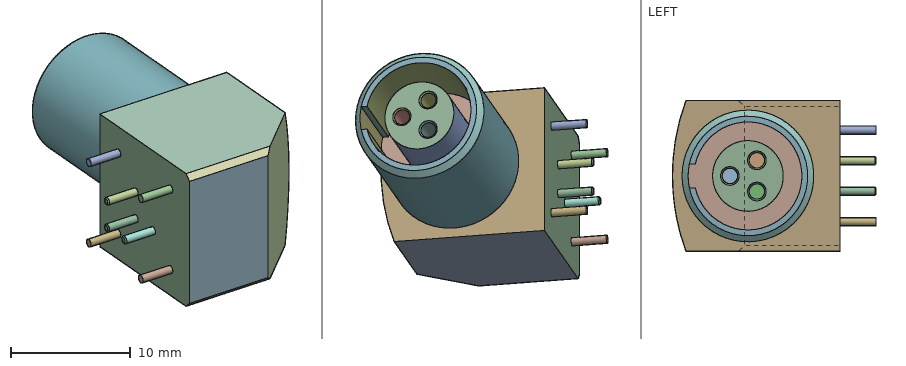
import cadquery as cq
import math

total_length = 26.8
housing_length = 13.19
housing_height = 12.6
housing_front = total_length - housing_length
mount_face_y = -7.7
crown_y = 6.3

crown_rise = 1.13
bevel_length = 5.65
bevel_depth = 6.03
end_chamfer = 0.5

barrel_radius = 5.5
barrel_chamfer = 0.5
bore_radius = 4.5
bore_depth = 8.05
keyway_width = 2.0
keyway_reach = barrel_radius - barrel_chamfer

insert_radius = 2.95
insert_recess = 0.4
contact_count = 3
contact_circle_radius = 1.5
contact_hole_radius = 0.65
contact_hole_depth = 4.02
contact_hole_chamfer = 0.13

pin_radius = 0.35
pin_length = 3.0
pin_pitch = 2.55
pin_tip_chamfer = 0.1
first_pin_x = housing_front + 2.73
weld_overlap = 0.27


def x_cylinder(radius, start, length):
    """Cylinder along the barrel axis."""
    return cq.Workplane("YZ", origin=(start, 0, 0)).circle(radius).extrude(length)


def make_housing():
    """Block with an arched back, a beveled rear corner and chamfered end edges."""
    half_height = housing_height / 2
    shoulder_y = crown_y - crown_rise
    body = (
        cq.Workplane("YZ", origin=(housing_front, 0, 0))
        .moveTo(mount_face_y, -half_height)
        .lineTo(shoulder_y, -half_height)
        .threePointArc((crown_y, 0), (shoulder_y, half_height))
        .lineTo(mount_face_y, half_height)
        .close()
        .extrude(housing_length)
    )
    body = body.faces(">X").edges("|Y").chamfer(end_chamfer)
    bevel = (
        cq.Workplane("XY", origin=(0, 0, -half_height))
        .moveTo(total_length, crown_y)
        .lineTo(total_length - bevel_length, crown_y)
        .lineTo(total_length, crown_y - bevel_depth)
        .close()
        .extrude(housing_height)
    )
    return body.cut(bevel)


def make_barrel():
    """Chamfered tube with a blind bore and a keyway on the +Y side."""
    barrel = x_cylinder(barrel_radius, 0, housing_front + weld_overlap)
    barrel = barrel.faces("<X").edges().chamfer(barrel_chamfer)
    bore = x_cylinder(bore_radius, 0, bore_depth)
    keyway = cq.Workplane("XY").box(
        bore_depth, keyway_reach, keyway_width, centered=(False, False, True)
    )
    keyway = keyway.intersect(x_cylinder(keyway_reach, 0, bore_depth))
    return barrel.cut(bore).cut(keyway)


def make_insert():
    """Round contact carrier with evenly spaced, chamfered blind holes."""
    insert = x_cylinder(insert_radius, insert_recess, housing_front - insert_recess)
    for index in range(contact_count):
        angle = 2 * math.pi * index / contact_count
        hole = (
            cq.Workplane("YZ", origin=(insert_recess, 0, 0))
            .center(contact_circle_radius * math.cos(angle), contact_circle_radius * math.sin(angle))
            .circle(contact_hole_radius)
            .extrude(contact_hole_depth)
        )
        mouth = (
            hole.faces("<X")
            .workplane(invert=True)
            .circle(contact_hole_radius + contact_hole_chamfer)
            .extrude(contact_hole_chamfer, taper=45, combine=False)
        )
        insert = insert.cut(hole).cut(mouth)
    return insert


def make_pin(column, row, tip_chamfer=0):
    """Pin below the mounting face; rows count in pitches from the barrel axis."""
    pin = (
        cq.Workplane("XZ", origin=(0, mount_face_y + weld_overlap, 0))
        .center(first_pin_x + column * pin_pitch, row * pin_pitch)
        .circle(pin_radius)
        .extrude(pin_length + weld_overlap)
    )
    if tip_chamfer:
        pin = pin.faces("<Y").edges().chamfer(tip_chamfer)
    return pin


result = make_housing().union(make_barrel()).union(make_insert())

for column in (0, 3):
    for row in (-1.5, 1.5):
        result = result.union(make_pin(column, row))

for column, row in ((1, 0.5), (1, -0.5), (2, -0.5)):
    result = result.union(make_pin(column, row, pin_tip_chamfer))